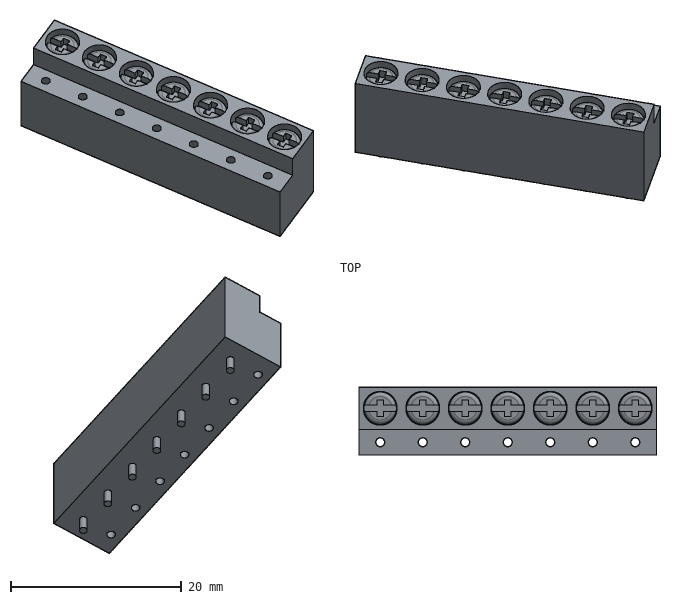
import cadquery as cq

positions = 7
length = 35.0
pitch = length / positions

depth = 1.6 * pitch
housing_height = 11.0
shoulder_height = 8.0
tower_depth = pitch

well_diameter = 4.0
well_depth = 2.0
screw_row_y = (depth - tower_depth) / 2
wire_hole_diameter = 1.0
wire_row_y = -tower_depth / 2

screw_diameter = 3.8
screw_recess = 0.6
screw_edge_radius = 0.52
slot_width = 0.8
slot_depth = 1.0
cross_slot_length = 2.0

pin_diameter = 0.9
pin_length = 2.0

well_floor_z = housing_height - well_depth
screw_top_z = housing_height - screw_recess
screw_height = screw_top_z - well_floor_z
slot_floor_z = screw_top_z - slot_depth


def row_points(y):
    """Return one point per terminal position along X at the given Y."""
    return [((i - (positions - 1) / 2) * pitch, y) for i in range(positions)]


def make_housing():
    """Stepped block with blind screw wells and vertical wire holes."""
    front = -depth / 2
    back = depth / 2
    step = back - tower_depth
    block = (
        cq.Workplane("YZ")
        .polyline([
            (front, 0),
            (back, 0),
            (back, housing_height),
            (step, housing_height),
            (step, shoulder_height),
            (front, shoulder_height),
        ])
        .close()
        .extrude(length / 2, both=True)
    )
    wells = (
        cq.Workplane(origin=(0, 0, well_floor_z))
        .pushPoints(row_points(screw_row_y))
        .circle(well_diameter / 2)
        .extrude(well_depth)
    )
    wire_holes = (
        cq.Workplane()
        .pushPoints(row_points(wire_row_y))
        .circle(wire_hole_diameter / 2)
        .extrude(shoulder_height)
    )
    return block.cut(wells).cut(wire_holes)


def make_screw_head():
    """Rounded head on the Z axis with a full slot and a shorter cross slot."""
    head = (
        cq.Workplane(origin=(0, 0, well_floor_z))
        .circle(screw_diameter / 2)
        .extrude(screw_height)
        .faces(">Z")
        .edges()
        .fillet(screw_edge_radius)
    )
    slots = cq.Workplane(origin=(0, 0, slot_floor_z))
    full_slot = slots.rect(screw_diameter, slot_width).extrude(slot_depth)
    cross_slot = slots.rect(slot_width, cross_slot_length).extrude(slot_depth)
    return head.cut(full_slot).cut(cross_slot)


def make_pins():
    """Round pins hanging below the housing under the screws."""
    return (
        cq.Workplane()
        .pushPoints(row_points(screw_row_y))
        .circle(pin_diameter / 2)
        .extrude(-pin_length)
    )


result = make_housing().union(make_pins())
screw_head = make_screw_head()
for x, y in row_points(screw_row_y):
    result = result.union(screw_head.translate((x, y, 0)))